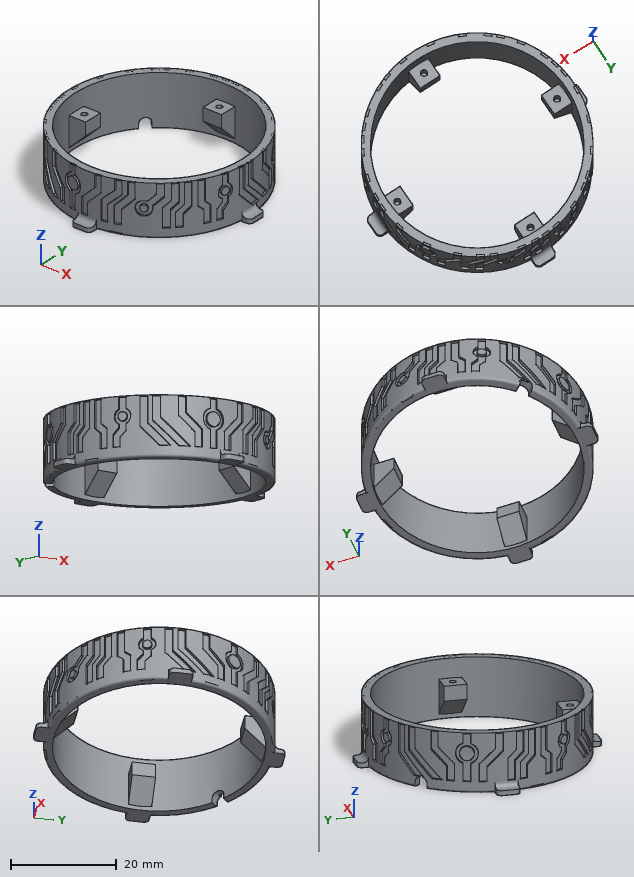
import cadquery as cq
import math

RING_OUTER_RADIUS = 43.8 / 2
RING_INNER_RADIUS = 40.3 / 2
RING_HEIGHT = 12.0
WALL_MIDDLE_RADIUS = (RING_OUTER_RADIUS + RING_INNER_RADIUS) / 2
BOTTOM_EDGE_RADIUS = 0.5

STATION_ANGLES = (0, 90, 180, 270)
STATION_WIDTH = 4.5
TAB_REACH = 47.7 / 2
TAB_THICKNESS = 1.0
TAB_ROOT_RADIUS = 1.0
TAB_CORNER_RADIUS = 0.95
BLOCK_INNER_END = 16.05
BLOCK_TOP = 8.0
BLOCK_END_HEIGHT = 3.0
SCREW_HOLE_DEPTH = 2.4
SCREW_HOLE_DIAMETER = 1.3
SCREW_HOLE_POSITION = 18.13

CUTTER_LENGTH = TAB_REACH - BLOCK_INNER_END

CABLE_SLOT_ANGLE = -133.8
CABLE_SLOT_RADIUS = 1.3
CABLE_SLOT_CENTER_Z = 1.0

GROOVE_DEPTH = 0.5
GROOVE_WIDTH = 1.5
GROOVE_BOTTOM = 2.25
GROOVE_TOP = 11.85
GROOVE_FLOOR_RADIUS = RING_OUTER_RADIUS - GROOVE_DEPTH

LARGE_PAD_RADIUS = 2.15
LARGE_ISLAND_RADIUS = 1.45
LARGE_PAD_Z = 7.85
SMALL_PAD_RADIUS = 1.6
SMALL_ISLAND_RADIUS = 0.9
SMALL_PAD_Z = 8.1
END_PAD_RADIUS = 1.65
END_ISLAND_RADIUS = 0.8
END_PAD_Z = 6.45

PATTERN_ORIGINS = (-109.9, -9.6, 120.2)
EXTENDED_ORIGINS = PATTERN_ORIGINS[1:]

COMMON_TRACES = (
    (-73.4, -77.8, 7.95, 6.4),
    (-66.9, -71.4, 6.85, 5.25),
    (-60.0, -56.8, 6.7, 5.65),
    (-35.7, -25.1, 6.35, GROOVE_BOTTOM),
    (-29.3, -15.3, 7.45, GROOVE_BOTTOM),
    (-16.5, -8.2, 8.45, 5.45),
    (16.2, 8.1, 8.55, 5.5),
)
SMALL_PAD_TRACE = (-46.6, -49.7, 5.65, 4.4)
EXTRA_TRACES = (
    (27.7, 20.0, 9.15, 6.45),
    (34.4, 27.3, 8.6, 5.85),
)
END_PAD_TRACE = (48.9, 40.7, 9.3, END_PAD_Z)


def radial_workplane(angle):
    """Workplane inside the ring facing outward: local X follows the wall, local Y is Z."""
    turn = math.radians(angle)
    along = (math.cos(turn), math.sin(turn), 0)
    outward = (math.sin(turn), -math.cos(turn), 0)
    plane = cq.Plane(origin=(0, 0, 0), xDir=along, normal=outward)
    return cq.Workplane(plane).workplane(offset=BLOCK_INNER_END)


def disc_cutter(angle, radius, z):
    return radial_workplane(angle).center(0, z).circle(radius).extrude(CUTTER_LENGTH)


def upright_cutter(angle):
    """Straight band over the full height of the grooves."""
    height = GROOVE_TOP - GROOVE_BOTTOM
    middle_z = GROOVE_BOTTOM + height / 2
    return radial_workplane(angle).center(0, middle_z).rect(GROOVE_WIDTH, height).extrude(CUTTER_LENGTH)


def trace_cutter(origin, trace):
    """Constant-width band that runs upright, then slanted, then upright if it bends above the bottom."""
    upper_angle, lower_angle, upper_z, lower_z = trace
    shift = math.radians(upper_angle - lower_angle) * RING_OUTER_RADIUS
    half_shift = shift / 2
    slant = math.atan2(shift, upper_z - lower_z)
    half_width = GROOVE_WIDTH / 2
    miter = half_width * math.tan(slant / 2)
    right_edge = [
        (half_shift + half_width, GROOVE_TOP),
        (half_shift + half_width, upper_z - miter),
    ]
    left_edge = [
        (half_shift - half_width, GROOVE_TOP),
        (half_shift - half_width, upper_z + miter),
    ]
    if lower_z > GROOVE_BOTTOM:
        right_edge.append((half_width - half_shift, lower_z - miter))
        right_edge.append((half_width - half_shift, GROOVE_BOTTOM))
        left_edge.append((-half_width - half_shift, lower_z + miter))
        left_edge.append((-half_width - half_shift, GROOVE_BOTTOM))
    else:
        half_slice = half_width / math.cos(slant)
        right_edge.append((half_slice - half_shift, GROOVE_BOTTOM))
        left_edge.append((-half_slice - half_shift, GROOVE_BOTTOM))
    outline = right_edge + left_edge[::-1]
    middle = origin + (upper_angle + lower_angle) / 2
    return radial_workplane(middle).polyline(outline).close().extrude(CUTTER_LENGTH)


def annulus(outer_radius, inner_radius, bottom, top):
    ring = cq.Workplane("XY").workplane(offset=bottom).circle(outer_radius).circle(inner_radius)
    return ring.extrude(top - bottom)


def end_pad_cutter(origin):
    """Trace that ends in a pad at the foot of its slanted run."""
    pad_angle = origin + END_PAD_TRACE[1]
    below_pad = cq.Workplane("XY").circle(TAB_REACH).extrude(END_PAD_Z)
    cutter = trace_cutter(origin, END_PAD_TRACE).cut(below_pad)
    cutter = cutter.union(disc_cutter(pad_angle, END_PAD_RADIUS, END_PAD_Z))
    return cutter.cut(disc_cutter(pad_angle, END_ISLAND_RADIUS, END_PAD_Z))


def pattern_cutters(origin):
    """Traces and pads of one pattern, each a separate radial cutter."""
    cutters = [trace_cutter(origin, trace) for trace in COMMON_TRACES]

    large_pad = upright_cutter(origin)
    large_pad = large_pad.union(disc_cutter(origin, LARGE_PAD_RADIUS, LARGE_PAD_Z))
    cutters.append(large_pad.cut(disc_cutter(origin, LARGE_ISLAND_RADIUS, LARGE_PAD_Z)))

    small_angle = origin + SMALL_PAD_TRACE[0]
    small_pad = trace_cutter(origin, SMALL_PAD_TRACE)
    small_pad = small_pad.union(disc_cutter(small_angle, SMALL_PAD_RADIUS, SMALL_PAD_Z))
    cutters.append(small_pad.cut(disc_cutter(small_angle, SMALL_ISLAND_RADIUS, SMALL_PAD_Z)))

    if origin in EXTENDED_ORIGINS:
        cutters += [trace_cutter(origin, trace) for trace in EXTRA_TRACES]
        cutters.append(end_pad_cutter(origin))
    return cutters


def ring():
    """Ring wall with a rounded outer bottom edge and the circuit-trace grooves."""
    body = annulus(RING_OUTER_RADIUS, RING_INNER_RADIUS, 0, RING_HEIGHT)
    body = body.faces("<Z").edges(cq.selectors.RadiusNthSelector(1)).fillet(BOTTOM_EDGE_RADIUS)
    groove_layer = annulus(RING_OUTER_RADIUS + GROOVE_DEPTH, GROOVE_FLOOR_RADIUS, GROOVE_BOTTOM, GROOVE_TOP)
    for origin in PATTERN_ORIGINS:
        for cutter in pattern_cutters(origin):
            body = body.cut(cutter.intersect(groove_layer))
    return body


def tab():
    """Tab along +X with a concave root that follows the ring."""
    flange_radius = math.hypot(TAB_REACH, STATION_WIDTH)
    root_top = TAB_THICKNESS + TAB_ROOT_RADIUS
    root_end = RING_OUTER_RADIUS + TAB_ROOT_RADIUS
    arc_middle_offset = TAB_ROOT_RADIUS * (1 - math.sqrt(0.5))
    profile = (
        cq.Workplane("XZ")
        .moveTo(WALL_MIDDLE_RADIUS, 0)
        .lineTo(flange_radius, 0)
        .lineTo(flange_radius, TAB_THICKNESS)
        .lineTo(root_end, TAB_THICKNESS)
        .threePointArc(
            (RING_OUTER_RADIUS + arc_middle_offset, TAB_THICKNESS + arc_middle_offset),
            (RING_OUTER_RADIUS, root_top),
        )
        .lineTo(WALL_MIDDLE_RADIUS, root_top)
        .close()
    )
    flange = profile.revolve(360, (0, 0, 0), (0, 1, 0))
    footprint = cq.Workplane("XY").box(TAB_REACH, STATION_WIDTH, root_top, centered=(False, True, False))
    footprint = footprint.edges("|Z and >X").fillet(TAB_CORNER_RADIUS)
    return flange.intersect(footprint)


def screw_block():
    """Block along +X on the inner wall with a 45 degree underside and a screw hole."""
    end_bottom = BLOCK_TOP - BLOCK_END_HEIGHT
    wall_bottom = end_bottom - (WALL_MIDDLE_RADIUS - BLOCK_INNER_END)
    block = (
        cq.Workplane("XZ")
        .polyline([
            (BLOCK_INNER_END, BLOCK_TOP),
            (WALL_MIDDLE_RADIUS, BLOCK_TOP),
            (WALL_MIDDLE_RADIUS, wall_bottom),
            (BLOCK_INNER_END, end_bottom),
        ])
        .close()
        .extrude(STATION_WIDTH / 2, both=True)
    )
    hole = (
        cq.Workplane("XY")
        .workplane(offset=BLOCK_TOP)
        .center(SCREW_HOLE_POSITION, 0)
        .circle(SCREW_HOLE_DIAMETER / 2)
        .extrude(-SCREW_HOLE_DEPTH)
    )
    return block.cut(hole)


def cable_slot():
    """Radial cutter with a half-round top, open at the bottom of the ring."""
    slot = disc_cutter(CABLE_SLOT_ANGLE, CABLE_SLOT_RADIUS, CABLE_SLOT_CENTER_Z)
    mouth = (
        radial_workplane(CABLE_SLOT_ANGLE)
        .rect(2 * CABLE_SLOT_RADIUS, 2 * CABLE_SLOT_CENTER_Z)
        .extrude(CUTTER_LENGTH)
    )
    return slot.union(mouth)


station = tab().union(screw_block())
result = ring()
for station_angle in STATION_ANGLES:
    result = result.union(station.rotate((0, 0, 0), (0, 0, 1), station_angle))
result = result.cut(cable_slot())